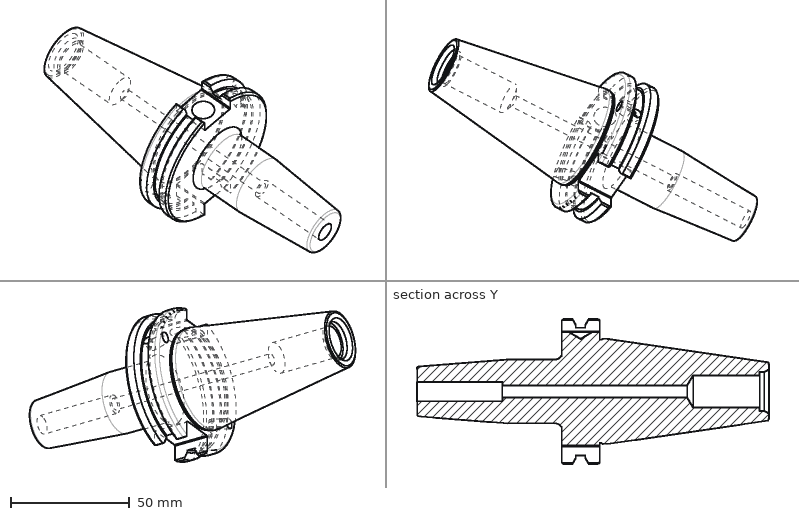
import cadquery as cq
import math


FULL_TURN = 360
HALF_TURN = 180

GAUGE_DIAMETER = 44.45
TAPER_LENGTH = 68.25
TAPER_RATIO = 7 / 24
TAPER_TIP_CHAMFER = 0.8
TAPER_TIP_CHAMFER_LENGTH = 0.4
GAUGE_LAND_LENGTH = 1.7
RELIEF_RAMP_LENGTH = 0.6
RELIEF_DIAMETER = 43.6

FLANGE_DIAMETER = 63.55
FLANGE_START = 3.0
FLANGE_END = 19.1
FLANGE_REAR_FILLET = 1.4
FLANGE_FRONT_CHAMFER = 0.9
GROOVE_CENTER = 11.1
GROOVE_TOP_WIDTH = 7.0
GROOVE_FLOOR_WIDTH = 3.9
GROOVE_FLOOR_DIAMETER = 56.25
GROOVE_HALF_ANGLE = 30

SLOT_WIDTH = 16.2
SLOT_EDGE_CHAMFER = 0.65
SLOT_FLOOR_CHAMFER = 0.4
UPPER_SLOT_FLOOR = 25.0
LOWER_SLOT_FLOOR = 22.8
DIMPLE_DIAMETER = 9.53
DIMPLE_POINT_ANGLE = 118

NOSE_DIAMETER = 27.0
NOSE_TIP_DIAMETER = 21.0
NOSE_END = 80.0
NOSE_TAPER_ANGLE = 4.5
NOSE_TIP_FILLET = 1.0
NOSE_ROOT_RISE = 1.75
NOSE_ROOT_LENGTH = 2.9

MOUTH_DIAMETER = 18.6
PILOT_DIAMETER = 16.3
MOUTH_DEPTH = 2.0
PILOT_DEPTH = 4.0
STUD_BORE_DIAMETER = 13.39
STUD_BORE_DEPTH = 32.0
DRILL_POINT_ANGLE = 118
COOLANT_BORE_DIAMETER = 4.92
TOOL_BORE_DIAMETER = 8.0
TOOL_BORE_DEPTH = 36.0

PORT_CLOCKING = 20
PORT_RADIUS = 27.0
PORT_DIAMETER = 4.5
PORT_TILT = 15
GROOVE_PORT_DIAMETER = 3.9


def revolve_about_x(profile):
    return profile.close().revolve(FULL_TURN, (0, 0, 0), (1, 0, 0))


def cone_length(diameter, point_angle):
    return diameter / 2 / math.tan(math.radians(point_angle / 2))


def make_body():
    gauge_r = GAUGE_DIAMETER / 2
    relief_r = RELIEF_DIAMETER / 2
    flange_r = FLANGE_DIAMETER / 2
    nose_r = NOSE_DIAMETER / 2
    tip_r = NOSE_TIP_DIAMETER / 2
    tail_x = -TAPER_LENGTH
    chamfer_x = tail_x + TAPER_TIP_CHAMFER_LENGTH
    chamfer_r = gauge_r + chamfer_x * TAPER_RATIO / 2
    relief_x = GAUGE_LAND_LENGTH + RELIEF_RAMP_LENGTH
    nose_taper_x = NOSE_END - (nose_r - tip_r) / math.tan(math.radians(NOSE_TAPER_ANGLE))
    root_x = FLANGE_END + NOSE_ROOT_LENGTH
    root_radius = (NOSE_ROOT_LENGTH ** 2 + NOSE_ROOT_RISE ** 2) / (2 * NOSE_ROOT_RISE)
    rear = FLANGE_REAR_FILLET
    front = FLANGE_FRONT_CHAMFER
    profile = (
        cq.Workplane("XZ")
        .moveTo(tail_x, 0)
        .lineTo(tail_x, chamfer_r - TAPER_TIP_CHAMFER)
        .lineTo(chamfer_x, chamfer_r)
        .lineTo(0, gauge_r)
        .lineTo(GAUGE_LAND_LENGTH, gauge_r)
        .lineTo(relief_x, relief_r)
        .lineTo(FLANGE_START, relief_r)
        .lineTo(FLANGE_START, flange_r - rear)
        .radiusArc((FLANGE_START + rear, flange_r), rear)
        .lineTo(FLANGE_END - front, flange_r)
        .lineTo(FLANGE_END, flange_r - front)
        .lineTo(FLANGE_END, nose_r + NOSE_ROOT_RISE)
        .radiusArc((root_x, nose_r), -root_radius)
        .lineTo(nose_taper_x, nose_r)
        .lineTo(NOSE_END, tip_r)
        .lineTo(NOSE_END, 0)
    )
    return revolve_about_x(profile).faces(">X").edges().fillet(NOSE_TIP_FILLET)


def make_groove():
    flange_r = FLANGE_DIAMETER / 2
    half_top = GROOVE_TOP_WIDTH / 2
    half_floor = GROOVE_FLOOR_WIDTH / 2
    knee_r = flange_r - (half_top - half_floor) / math.tan(math.radians(GROOVE_HALF_ANGLE))
    floor_r = GROOVE_FLOOR_DIAMETER / 2
    profile = (
        cq.Workplane("XZ")
        .moveTo(GROOVE_CENTER - half_top, flange_r)
        .lineTo(GROOVE_CENTER - half_floor, knee_r)
        .lineTo(GROOVE_CENTER - half_floor, floor_r)
        .lineTo(GROOVE_CENTER + half_floor, floor_r)
        .lineTo(GROOVE_CENTER + half_floor, knee_r)
        .lineTo(GROOVE_CENTER + half_top, flange_r)
    )
    return revolve_about_x(profile)


def make_slot(floor_z):
    """Drive slot above floor_z, with 45-degree corners at the floor and flared edges at the rim."""
    half = SLOT_WIDTH / 2
    floor_half = half - SLOT_FLOOR_CHAMFER
    rim_half = half + SLOT_EDGE_CHAMFER
    top_z = FLANGE_DIAMETER / 2
    rim_z = math.sqrt(top_z ** 2 - rim_half ** 2)
    flare_z = rim_z - SLOT_EDGE_CHAMFER
    flare_top_half = half + top_z - flare_z
    return (
        cq.Workplane("YZ", origin=(FLANGE_START, 0, 0))
        .polyline([
            (-half, floor_z + SLOT_FLOOR_CHAMFER),
            (-floor_half, floor_z),
            (floor_half, floor_z),
            (half, floor_z + SLOT_FLOOR_CHAMFER),
            (half, flare_z),
            (flare_top_half, top_z),
            (-flare_top_half, top_z),
            (-half, flare_z),
        ])
        .close()
        .extrude(FLANGE_END - FLANGE_START)
    )


def make_dimple():
    depth = cone_length(DIMPLE_DIAMETER, DIMPLE_POINT_ANGLE)
    apex = cq.Vector(GROOVE_CENTER, 0, UPPER_SLOT_FLOOR - depth)
    cone = cq.Solid.makeCone(0, DIMPLE_DIAMETER / 2, depth, apex, cq.Vector(0, 0, 1))
    return cq.Workplane(cone)


def make_axial_bores():
    tail_x = -TAPER_LENGTH
    pilot_r = PILOT_DIAMETER / 2
    stud_r = STUD_BORE_DIAMETER / 2
    coolant_r = COOLANT_BORE_DIAMETER / 2
    tool_r = TOOL_BORE_DIAMETER / 2
    stud_end = tail_x + STUD_BORE_DEPTH
    point_end = stud_end + cone_length(STUD_BORE_DIAMETER - COOLANT_BORE_DIAMETER, DRILL_POINT_ANGLE)
    tool_start = NOSE_END - TOOL_BORE_DEPTH
    profile = (
        cq.Workplane("XZ")
        .moveTo(tail_x, 0)
        .lineTo(tail_x, MOUTH_DIAMETER / 2)
        .lineTo(tail_x + MOUTH_DEPTH, pilot_r)
        .lineTo(tail_x + PILOT_DEPTH, pilot_r)
        .lineTo(tail_x + PILOT_DEPTH, stud_r)
        .lineTo(stud_end, stud_r)
        .lineTo(point_end, coolant_r)
        .lineTo(tool_start, coolant_r)
        .lineTo(tool_start, tool_r)
        .lineTo(NOSE_END, tool_r)
        .lineTo(NOSE_END, 0)
    )
    return revolve_about_x(profile)


def make_coolant_port():
    """Tilted bore from the flange's rear face, meeting a radial bore from the groove floor."""
    tilt = math.radians(PORT_TILT)
    run = GROOVE_CENTER - FLANGE_START
    meeting_r = PORT_RADIUS - run * math.tan(tilt)
    direction = cq.Vector(math.cos(tilt), -math.sin(tilt), 0)
    overrun = PORT_DIAMETER / 2
    start = cq.Vector(FLANGE_START, PORT_RADIUS, 0) - direction * overrun
    length = run / math.cos(tilt) + overrun
    tilted = cq.Solid.makeCylinder(PORT_DIAMETER / 2, length, start, direction)
    radial = cq.Solid.makeCylinder(
        GROOVE_PORT_DIAMETER / 2,
        FLANGE_DIAMETER / 2 - meeting_r,
        cq.Vector(GROOVE_CENTER, meeting_r, 0),
        cq.Vector(0, 1, 0),
    )
    return cq.Workplane(tilted).union(cq.Workplane(radial))


def make_holder():
    holder = make_body().cut(make_groove()).cut(make_axial_bores())
    holder = holder.cut(make_slot(UPPER_SLOT_FLOOR)).cut(make_dimple())
    lower_slot = make_slot(LOWER_SLOT_FLOOR).rotate((0, 0, 0), (1, 0, 0), HALF_TURN)
    holder = holder.cut(lower_slot)
    for angle in (PORT_CLOCKING, PORT_CLOCKING + HALF_TURN):
        holder = holder.cut(make_coolant_port().rotate((0, 0, 0), (1, 0, 0), angle))
    return holder


result = make_holder()